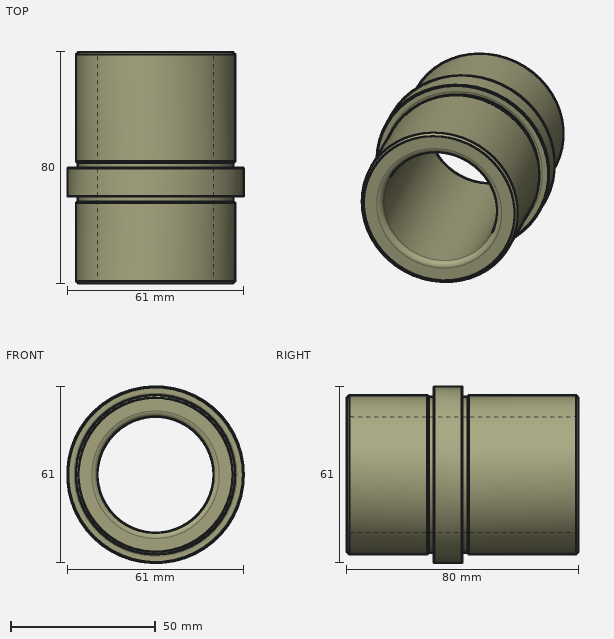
import cadquery as cq

length = 80.0
body_radius = 27.5
bore_radius = 20.0
collar_radius = 30.5
collar_width = 10.0
collar_edge = 0.3
end_chamfer = 1.0
bore_rounding = 2.0
groove_depth = 0.6
groove_width = 2.2
undercut_depth = 0.2
undercut_radius = 28.1

back_end = length / 2
front_end = -length / 2
collar_back = 0.0
collar_front = collar_back - collar_width
groove_radius = body_radius - groove_depth


def ring(outer_radius, y_start, y_end):
    """Solid disc around the Y axis, from y_start up to y_end."""
    return (
        cq.Workplane("XZ", origin=(0, y_end, 0))
        .circle(outer_radius)
        .extrude(y_end - y_start)
    )


def groove(collar_face, direction):
    """Relief groove with a 45 degree outer wall and a sloping undercut into the collar face."""
    undercut_end = collar_face - direction * undercut_depth
    floor_end = collar_face + direction * (groove_width - groove_depth)
    mouth_end = collar_face + direction * groove_width
    profile = [
        (groove_radius, undercut_end),
        (groove_radius, floor_end),
        (body_radius, mouth_end),
        (undercut_radius, mouth_end),
        (undercut_radius, collar_face),
    ]
    return cq.Workplane("XY").polyline(profile).close().revolve(360, (0, 0, 0), (0, 1, 0))


body = ring(body_radius, front_end, back_end).faces("<Y or >Y").edges().chamfer(end_chamfer)

collar = ring(collar_radius, collar_front, collar_back).edges().chamfer(collar_edge)

bush = body.union(collar).cut(groove(collar_back, 1)).cut(groove(collar_front, -1))

bore = ring(bore_radius, front_end, back_end)
result = (
    bush.cut(bore)
    .faces("<Y or >Y")
    .edges(cq.selectors.RadiusNthSelector(0))
    .fillet(bore_rounding)
)